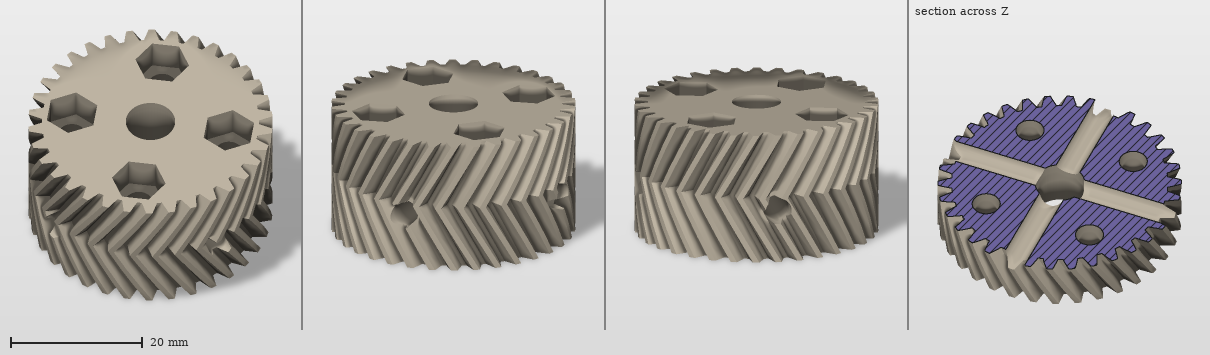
import cadquery as cq
import math

TOOTH_COUNT = 34
TIP_RADIUS = 18.55
ROOT_RADIUS = 16.45
HEIGHT = 20.0
HALF_HEIGHT = HEIGHT / 2
HALF_TWIST = 18.3

TIP_HALF_WIDTH = 0.5
ROOT_HALF_WIDTH = 1.15

BORE_DIAMETER = 7.5
BOLT_DIAMETER = 4.2
BOLT_SPACING = 17.0
NUT_CORNER_DIAMETER = 8.23
NUT_DEPTH = 5.0
NUT_CORNER_ANGLE = 15
SET_SCREW_DIAMETER = 4.0
SET_SCREW_OVERRUN = 1.85


def polar(radius, angle):
    return (radius * math.cos(angle), radius * math.sin(angle))


def gear_outline():
    """Closed outline of straight-sided teeth, with one tooth centred on +Y."""
    pitch = 2 * math.pi / TOOTH_COUNT
    root_angle = math.asin(ROOT_HALF_WIDTH / ROOT_RADIUS)
    tip_angle = math.asin(TIP_HALF_WIDTH / TIP_RADIUS)
    first_centre = math.pi / 2
    outline = cq.Workplane("XY").moveTo(*polar(ROOT_RADIUS, first_centre - root_angle))
    for index in range(TOOTH_COUNT):
        centre = first_centre + index * pitch
        next_centre = centre + pitch
        outline = (
            outline.lineTo(*polar(TIP_RADIUS, centre - tip_angle))
            .threePointArc(polar(TIP_RADIUS, centre), polar(TIP_RADIUS, centre + tip_angle))
            .lineTo(*polar(ROOT_RADIUS, centre + root_angle))
            .threePointArc(
                polar(ROOT_RADIUS, centre + pitch / 2),
                polar(ROOT_RADIUS, next_centre - root_angle),
            )
        )
    return outline.close()


def herringbone_body():
    """Lower helical half plus its mirror image above the middle plane."""
    lower_half = gear_outline().twistExtrude(HALF_HEIGHT, -HALF_TWIST)
    upper_half = lower_half.mirror("XY").translate((0, 0, HEIGHT))
    return lower_half.union(upper_half, glue=True)


def set_screw_hole(plane):
    """Set-screw hole across the whole gear, just below the middle plane."""
    height = HALF_HEIGHT - SET_SCREW_DIAMETER / 2
    return (
        cq.Workplane(plane, origin=(0, 0, height))
        .circle(SET_SCREW_DIAMETER / 2)
        .extrude(TIP_RADIUS + SET_SCREW_OVERRUN, both=True)
    )


def bolt_hole(corner_angle):
    """Through bolt hole with a hexagonal nut pocket in the top face."""
    nut_pocket = (
        cq.Workplane("XY", origin=(0, 0, HEIGHT - NUT_DEPTH))
        .polygon(6, NUT_CORNER_DIAMETER)
        .extrude(NUT_DEPTH)
        .rotate((0, 0, 0), (0, 0, 1), corner_angle)
    )
    return nut_pocket.union(cq.Workplane("XY").circle(BOLT_DIAMETER / 2).extrude(HEIGHT))


def all_holes():
    """Bore, crossed set-screw holes and four bolt holes joined into one cutting tool."""
    holes = cq.Workplane("XY").circle(BORE_DIAMETER / 2).extrude(HEIGHT)
    for plane in ("XZ", "YZ"):
        holes = holes.union(set_screw_hole(plane))
    offset = BOLT_SPACING / 2
    for x_sign in (-1, 1):
        for y_sign in (-1, 1):
            hole = bolt_hole(NUT_CORNER_ANGLE * x_sign * y_sign)
            holes = holes.union(hole.translate((x_sign * offset, y_sign * offset, 0)))
    return holes


result = herringbone_body().cut(all_holes())